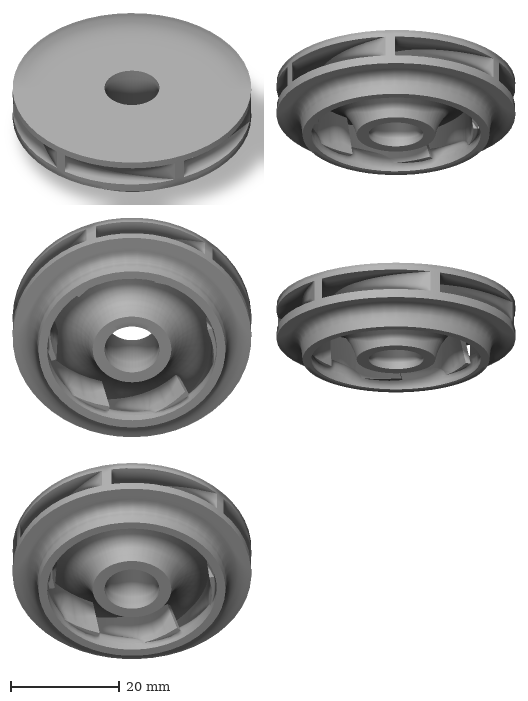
import cadquery as cq
import math


rim_radius = 22.05
height = 10.79
bore_radius = 5.07

hub_plate_thickness = 1.35
hub_flare_radius = 11.4
hub_flare_start = 18.5

shroud_thickness = 1.6
shroud_underside = 4.0
collar_radius = 17.27
waist_radius = 17.52
waist_height = 2.3
bend_outer_radius = 2.33
bend_middle_angle = 135

vane_count = 6
vane_thickness = 0.97
vane_tip_angle = 267.5
vane_tip_direction = 147.5
vane_straight_length = 5.6
vane_arc_end_direction = 90.0
vane_bend_at_shroud = 20.6
vane_bend_at_hub = 18.4
vane_tip_overrun = 2.0

hub_underside = height - hub_plate_thickness
shroud_floor = shroud_underside + shroud_thickness
eye_radius = collar_radius - shroud_thickness
bend_inner_radius = bend_outer_radius + shroud_thickness
bend_center_r = collar_radius + bend_outer_radius
bend_center_z = shroud_underside - bend_outer_radius
flare_center_z = hub_underside - hub_flare_radius


def polar(center, radius, degrees):
    """Point at a distance and angle from a center."""
    angle = math.radians(degrees)
    return (center[0] + radius * math.cos(angle), center[1] + radius * math.sin(angle))


def make_envelope():
    """Impeller without its flow passages: everything inside the outer surface."""
    bend_middle = polar((bend_center_r, bend_center_z), bend_outer_radius, bend_middle_angle)
    profile = (
        cq.Workplane("XZ")
        .moveTo(bore_radius, 0)
        .lineTo(collar_radius, 0)
        .spline(
            [(waist_radius, waist_height), bend_middle, (bend_center_r, shroud_underside)],
            includeCurrent=True,
        )
        .lineTo(rim_radius, shroud_underside)
        .lineTo(rim_radius, height)
        .lineTo(bore_radius, height)
        .close()
    )
    return profile.revolve(360, (0, 0, 0), (0, 1, 0))


def make_flow_space():
    """Ring-shaped space between the hub flare and the shroud, from the eye to the rim."""
    bend_middle = polar((bend_center_r, bend_center_z), bend_inner_radius, bend_middle_angle)
    flare_center = (hub_flare_start, flare_center_z)
    core_angle = 180 - math.degrees(math.asin(-flare_center_z / hub_flare_radius))
    core_foot = polar(flare_center, hub_flare_radius, core_angle)
    flare_middle = polar(flare_center, hub_flare_radius, (core_angle + 90) / 2)
    profile = (
        cq.Workplane("XZ")
        .moveTo(*core_foot)
        .lineTo(eye_radius, 0)
        .lineTo(eye_radius, bend_center_z)
        .spline(
            [bend_middle, (bend_center_r, shroud_floor), (rim_radius, shroud_floor)],
            tangents=[(0, 1), (1, 0)],
            includeCurrent=True,
        )
        .lineTo(rim_radius, hub_underside)
        .lineTo(hub_flare_start, hub_underside)
        .threePointArc(flare_middle, core_foot)
        .close()
    )
    return profile.revolve(360, (0, 0, 0), (0, 1, 0))


def vane_outline(z, bend_radius):
    """Outline of the first vane at one level: a smooth blade, straight near the tip and bent inside."""
    into_vane = vane_tip_direction - 90
    tip = polar((0, 0), rim_radius, vane_tip_angle)
    bend_start = polar(tip, vane_straight_length, vane_tip_direction)
    bend_center = polar(bend_start, bend_radius, into_vane)
    start_angle = vane_tip_direction + 90
    end_angle = vane_arc_end_direction + 90
    middle_angle = (start_angle + end_angle) / 2
    inner_radius = bend_radius - vane_thickness
    tip_heading = polar((0, 0), 1, vane_tip_direction)
    tip_return = polar((0, 0), -1, vane_tip_direction)
    end_heading = polar((0, 0), 1, vane_arc_end_direction)
    end_return = polar((0, 0), -1, vane_arc_end_direction)
    outer_tip = polar(tip, -vane_tip_overrun, vane_tip_direction)
    outer_side = [
        outer_tip,
        tip,
        bend_start,
        polar(bend_center, bend_radius, middle_angle),
        polar(bend_center, bend_radius, end_angle),
    ]
    inner_side = [
        polar(bend_center, inner_radius, end_angle),
        polar(bend_center, inner_radius, middle_angle),
        polar(bend_start, vane_thickness, into_vane),
        polar(tip, vane_thickness, into_vane),
        polar(outer_tip, vane_thickness, into_vane),
    ]
    outline = (
        cq.Workplane("XY", origin=(0, 0, z))
        .spline(outer_side, tangents=[tip_heading, end_heading])
        .lineTo(*inner_side[0])
        .spline(inner_side[1:], tangents=[end_return, tip_return], includeCurrent=True)
        .close()
    )
    return outline.val()


def make_vane():
    """Twisted vane, running from the foot of the bend up to the hub plate."""
    lower = vane_outline(bend_center_z, vane_bend_at_shroud)
    upper = vane_outline(hub_underside, vane_bend_at_hub)
    return cq.Workplane(cq.Solid.makeLoft([lower, upper], True))


def make_passages():
    """Flow space with the vanes left standing."""
    passages = make_flow_space()
    vane = make_vane()
    for index in range(vane_count):
        turn = index * 360 / vane_count
        passages = passages.cut(vane.rotate((0, 0, 0), (0, 0, 1), turn))
    return passages


result = make_envelope().cut(make_passages())